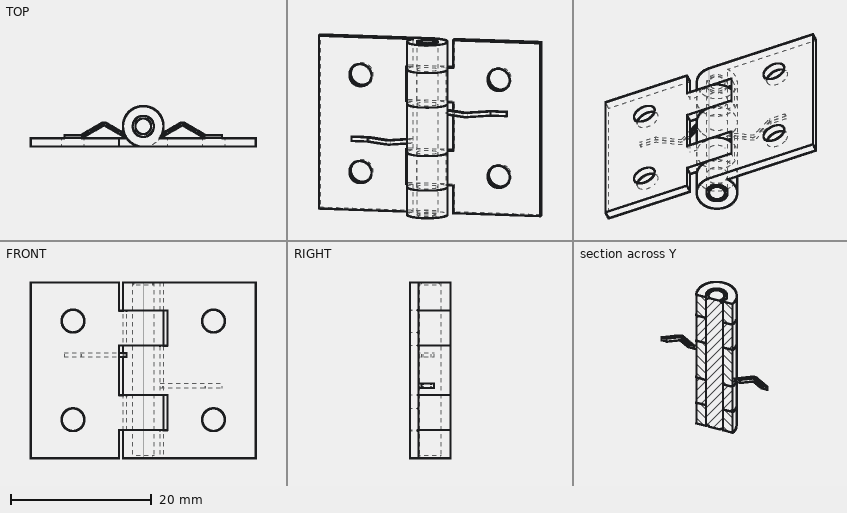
import cadquery as cq
import math

width = 32.0
height = 25.0
plate_thickness = 1.2
knuckle_diameter = 5.8
knuckle_radius = knuckle_diameter / 2
plate_outer_y = -knuckle_radius
plate_inner_y = plate_outer_y + plate_thickness
notch_reach = 3.42

middle_knuckle = 7.0
left_knuckle = 5.0
end_knuckle = (height - middle_knuckle) / 2 - left_knuckle
left_knuckle_z = (middle_knuckle + left_knuckle) / 2
end_knuckle_z = (height - end_knuckle) / 2
left_spans = [(-left_knuckle_z, left_knuckle), (left_knuckle_z, left_knuckle)]
right_spans = [(-end_knuckle_z, end_knuckle), (0, middle_knuckle), (end_knuckle_z, end_knuckle)]

hole_diameter = 3.2
hole_x = 10.0
hole_z = 7.0

pin_diameter = 3.0
pin_chamfer = 0.4

arm_thickness = 0.4
arm_width = 0.6
arm_z = 2.18
foot_outer_x = 11.2
foot_bend_x = 8.77
crest_x = 5.57
tip_x = 1.92
arm_slope = math.radians(30)
crest_inner_radius = 0.25
crest_outer_radius = crest_inner_radius + arm_thickness


def cylinder(diameter, length, z):
    """Cylinder on the hinge axis, centred at height z."""
    return cq.Workplane("XY").workplane(offset=z - length / 2).circle(diameter / 2).extrude(length)


def plate_block(x_start, x_end, length, z):
    """Block of plate thickness between two X positions, centred at height z."""
    return cq.Workplane("XY").box(x_end - x_start, plate_thickness, length).translate(
        ((x_start + x_end) / 2, (plate_outer_y + plate_inner_y) / 2, z)
    )


def make_spring_arm(z):
    """Strip with a flat foot and a raised bend, ending against the knuckle."""
    rise = math.tan(arm_slope)
    crest_y = plate_inner_y + (foot_bend_x - crest_x) * rise
    upper_bend_x = foot_bend_x + arm_thickness * math.tan(arm_slope / 2)
    upper_crest_y = crest_y + arm_thickness / math.cos(arm_slope)
    tip_drop = (crest_x - tip_x) * rise
    arm = (
        cq.Workplane("XY").workplane(offset=z - arm_width / 2)
        .moveTo(foot_outer_x, plate_inner_y)
        .lineTo(foot_bend_x, plate_inner_y)
        .lineTo(crest_x, crest_y)
        .lineTo(tip_x, crest_y - tip_drop)
        .lineTo(tip_x, upper_crest_y - tip_drop)
        .lineTo(crest_x, upper_crest_y)
        .lineTo(upper_bend_x, plate_inner_y + arm_thickness)
        .lineTo(foot_outer_x, plate_inner_y + arm_thickness)
        .close().extrude(arm_width)
    )
    crest_points = [(crest_y, crest_inner_radius), (upper_crest_y, crest_outer_radius)]
    for y, radius in crest_points:
        arm = arm.edges(cq.selectors.NearestToPointSelector((crest_x, y, z))).fillet(radius)
    return arm.cut(cylinder(knuckle_diameter, height, 0))


def make_leaf(own_spans, other_spans, spring_z):
    """Leaf on the +X side, with its own knuckles and notches for the other leaf's."""
    leaf = plate_block(0, width / 2, height, 0)
    for z, length in other_spans:
        leaf = leaf.cut(plate_block(0, notch_reach, length, z))
    for z, length in own_spans:
        leaf = leaf.union(cylinder(knuckle_diameter, length, z))
    leaf = leaf.cut(cylinder(pin_diameter, height, 0))
    holes = (
        cq.Workplane("XZ", origin=(0, plate_inner_y, 0))
        .pushPoints([(hole_x, -hole_z), (hole_x, hole_z)])
        .circle(hole_diameter / 2).extrude(plate_thickness)
    )
    return leaf.cut(holes).union(make_spring_arm(spring_z))


def make_pin():
    """Pin flush with the outer knuckles, chamfered at both ends."""
    return cylinder(pin_diameter, height, 0).faces("<Z or >Z").chamfer(pin_chamfer)


right_leaf = make_leaf(right_spans, left_spans, -arm_z)
left_leaf = make_leaf(left_spans, right_spans, arm_z).mirror("YZ")
pin = make_pin()

result = cq.Compound.makeCompound([left_leaf.val(), right_leaf.val(), pin.val()])